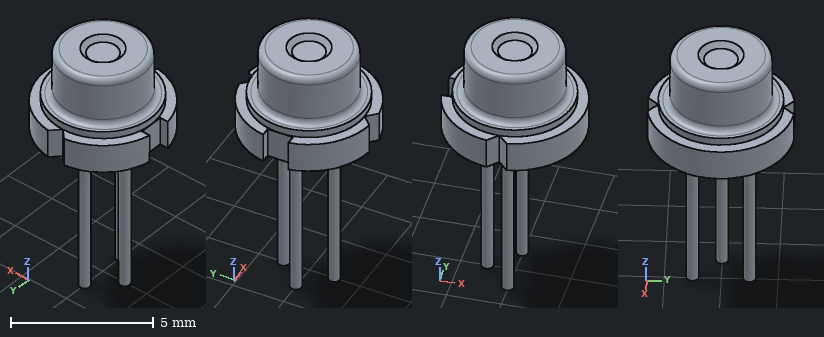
import cadquery as cq
import math

overall_height = 10.0
lead_length = 6.5
flange_thickness = 1.2
weld_ring_thickness = 0.3
flange_top = lead_length + flange_thickness
weld_ring_top = flange_top + weld_ring_thickness
cap_height = overall_height - weld_ring_top

flange_radius = 2.6
weld_ring_radius = 2.2
cap_radius = 1.8
cap_edge_fillet = 0.25
cap_foot_fillet = 0.25

window_top_diameter = 1.6
window_floor_diameter = 1.2
window_depth = (window_top_diameter - window_floor_diameter) / 2

slot_width = 1.0
slot_floor_radius = weld_ring_radius
vee_tip_radius = weld_ring_radius
vee_angle = 90.0

lead_diameter = 0.45
lead_circle_radius = 1.0
bead_diameter = 1.2
bead_thickness = 0.5


def cylinder(diameter, bottom, height, x=0.0, y=0.0):
    """Upright cylinder standing on the given bottom height."""
    return cq.Workplane("XY", origin=(x, y, bottom)).circle(diameter / 2).extrude(height)


def make_flange():
    """Round base plate with one square slot at -X and V notches at +Y and -Y."""
    flange = cylinder(2 * flange_radius, lead_length, flange_thickness)
    base_plane = cq.Workplane("XY", origin=(0, 0, lead_length))

    slot_depth = flange_radius - slot_floor_radius
    slot_center_x = -(slot_floor_radius + slot_depth / 2)
    slot = base_plane.center(slot_center_x, 0).rect(slot_depth, slot_width).extrude(flange_thickness)
    flange = flange.cut(slot)

    vee_half_width = (flange_radius - vee_tip_radius) * math.tan(math.radians(vee_angle / 2))
    for side in (1, -1):
        vee_points = [
            (0, side * vee_tip_radius),
            (vee_half_width, side * flange_radius),
            (-vee_half_width, side * flange_radius),
        ]
        flange = flange.cut(base_plane.polyline(vee_points).close().extrude(flange_thickness))
    return flange


def make_cap():
    """Weld ring and cap turned as one profile, with a rounded top edge and a flared foot."""
    foot_radius = cap_radius + cap_foot_fillet
    flat_top_radius = cap_radius - cap_edge_fillet
    foot_top = weld_ring_top + cap_foot_fillet
    wall_top = weld_ring_top + cap_height - cap_edge_fillet
    diagonal = math.sqrt(0.5)
    foot_arc_middle = (
        foot_radius - cap_foot_fillet * diagonal,
        foot_top - cap_foot_fillet * diagonal,
    )
    edge_arc_middle = (
        flat_top_radius + cap_edge_fillet * diagonal,
        wall_top + cap_edge_fillet * diagonal,
    )
    cap = (
        cq.Workplane("XZ")
        .moveTo(0, flange_top)
        .lineTo(weld_ring_radius, flange_top)
        .lineTo(weld_ring_radius, weld_ring_top)
        .lineTo(foot_radius, weld_ring_top)
        .threePointArc(foot_arc_middle, (cap_radius, foot_top))
        .lineTo(cap_radius, wall_top)
        .threePointArc(edge_arc_middle, (flat_top_radius, overall_height))
        .lineTo(0, overall_height)
        .close()
        .revolve(360, (0, 0), (0, 1))
    )
    window = (
        cq.Workplane("XY", origin=(0, 0, overall_height - window_depth))
        .circle(window_floor_diameter / 2)
        .workplane(offset=window_depth)
        .circle(window_top_diameter / 2)
        .loft(ruled=True)
    )
    return cap.cut(window)


def make_leads():
    """Three leads a quarter turn apart, the one at -X with a bead under the flange."""
    leads = cylinder(bead_diameter, lead_length - bead_thickness, bead_thickness, x=-lead_circle_radius)
    for angle in (90, 180, 270):
        x = lead_circle_radius * math.cos(math.radians(angle))
        y = lead_circle_radius * math.sin(math.radians(angle))
        leads = leads.union(cylinder(lead_diameter, 0, lead_length, x, y))
    return leads


result = make_flange().union(make_cap()).union(make_leads())